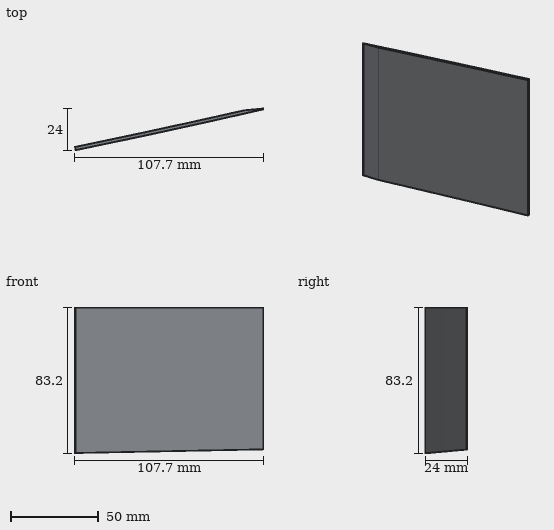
import math

import cadquery as cq

length_x = 107.69
depth_y = 23.97
height = 83.21

thickness = 2.0
bow = 0.30
end_lean_deg = 9.5
tip_thickness = 0.6
bevel_length_x = 10.9
bevel_rise_y = 1.05

underside_rise = 2.1

tilt = math.atan2(depth_y - tip_thickness, length_x)

end_lean = math.radians(end_lean_deg)
end_offset_x = thickness * math.sin(end_lean)
end_depth_y = thickness * math.cos(end_lean)


def bowed_middle(start, end, sag):
    """Mid point of an arc that bulges by sag from a chord at the plate tilt, towards -Y."""
    mid_x = (start[0] + end[0]) / 2
    mid_y = (start[1] + end[1]) / 2
    return (mid_x + sag * math.sin(tilt), mid_y - sag * math.cos(tilt))


def plate_blank():
    """Slightly bowed, inclined plate with a beveled back face, at full height."""
    front_start = (end_offset_x, 0)
    front_end = (length_x, depth_y - tip_thickness)
    tip_back = (length_x, depth_y)
    bevel_start = (length_x - bevel_length_x, depth_y - bevel_rise_y)
    back_end = (0, end_depth_y)

    back_bow = bow * (bevel_start[0] / (length_x - end_offset_x)) ** 2
    outline = (
        cq.Workplane("XY")
        .moveTo(*front_start)
        .threePointArc(bowed_middle(front_start, front_end, bow), front_end)
        .lineTo(*tip_back)
        .lineTo(*bevel_start)
        .threePointArc(bowed_middle(bevel_start, back_end, back_bow), back_end)
        .close()
    )
    return outline.extrude(height)


def underside_wedge():
    """Wedge below the sloping underside, running across the full depth."""
    wedge = cq.Workplane("XZ").polyline([(0, 0), (length_x, 0), (length_x, underside_rise)]).close()
    return wedge.extrude(-depth_y)


result = plate_blank().cut(underside_wedge())